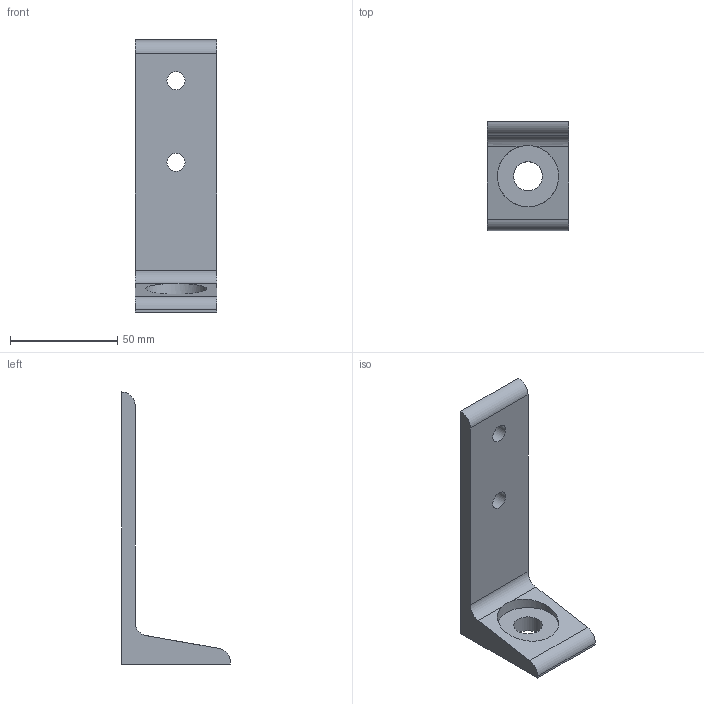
import cadquery as cq
import math

width = 38.1
foot_length = 50.8
height = 127.0

wall_thickness = 6.35
toe_height = wall_thickness
foot_slope = math.radians(10)
top_radius = wall_thickness
inside_radius = 6.35
toe_radius = 6.35

wall_hole_diameter = 8.43
wall_hole_depths_from_top = (19.05, 57.15)

foot_hole_diameter = 13.49
foot_hole_y = -foot_length / 2
counterbore_diameter = 28.575
counterbore_floor = 7.94


def arc_center_height(y, offset):
    """Height at y of a line parallel to the sloped face, offset above it (below if negative)."""
    slope_height = toe_height + (y + foot_length) * math.tan(foot_slope)
    return slope_height + offset / math.cos(foot_slope)


def make_body():
    """L-shaped profile extruded across the width, with arcs at the top, inside corner and toe."""
    wall_front = -wall_thickness
    toe_front = -foot_length

    normal_y = -math.sin(foot_slope)
    normal_z = math.cos(foot_slope)

    inside_y = wall_front - inside_radius
    inside_z = arc_center_height(inside_y, inside_radius)
    toe_y = toe_front + toe_radius
    toe_z = arc_center_height(toe_y, -toe_radius)

    inside_end = (inside_y - inside_radius * normal_y, inside_z - inside_radius * normal_z)
    toe_start = (toe_y + toe_radius * normal_y, toe_z + toe_radius * normal_z)

    return (
        cq.Workplane("YZ")
        .moveTo(0, 0)
        .lineTo(0, height)
        .radiusArc((wall_front, height - top_radius), -top_radius)
        .lineTo(wall_front, inside_z)
        .radiusArc(inside_end, inside_radius)
        .lineTo(*toe_start)
        .radiusArc((toe_front, toe_z), -toe_radius)
        .lineTo(toe_front, 0)
        .close()
        .extrude(width / 2, both=True)
    )


def foot_cutter(diameter, bottom):
    """Vertical cylinder on the foot hole axis, from the given height up past the sloped face."""
    return (
        cq.Workplane("XY", origin=(0, foot_hole_y, bottom))
        .circle(diameter / 2)
        .extrude(height - bottom)
    )


def cut_foot_hole(body):
    hole = foot_cutter(foot_hole_diameter, 0)
    counterbore = foot_cutter(counterbore_diameter, counterbore_floor)
    return body.cut(hole).cut(counterbore)


def cut_wall_holes(body):
    for depth in wall_hole_depths_from_top:
        hole = (
            cq.Workplane("XZ", origin=(0, 0, height - depth))
            .circle(wall_hole_diameter / 2)
            .extrude(wall_thickness)
        )
        body = body.cut(hole)
    return body


result = cut_wall_holes(cut_foot_hole(make_body()))